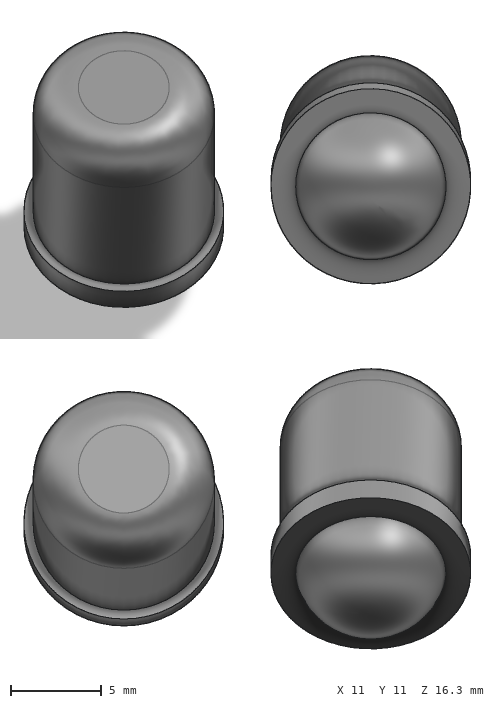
import cadquery as cq

total_height = 16.3
ball_protrusion = 3.3
ball_diameter = 8.5
flange_diameter = 11.0
flange_thickness = 1.5
body_diameter = 10.0
top_fillet = 2.5

body_height = total_height - ball_protrusion
ball_center_z = ball_diameter / 2 - ball_protrusion


def make_body():
    """Cylindrical body with a generously rounded top edge."""
    body = cq.Workplane("XY").circle(body_diameter / 2).extrude(body_height)
    return body.faces(">Z").edges().fillet(top_fillet)


def make_flange():
    """Thin collar around the foot of the body."""
    return cq.Workplane("XY").circle(flange_diameter / 2).extrude(flange_thickness)


def make_ball():
    """Ball seated in the body, with its lower cap protruding below the flange."""
    return cq.Workplane("XY").sphere(ball_diameter / 2).translate((0, 0, ball_center_z))


result = make_body().union(make_flange()).union(make_ball())